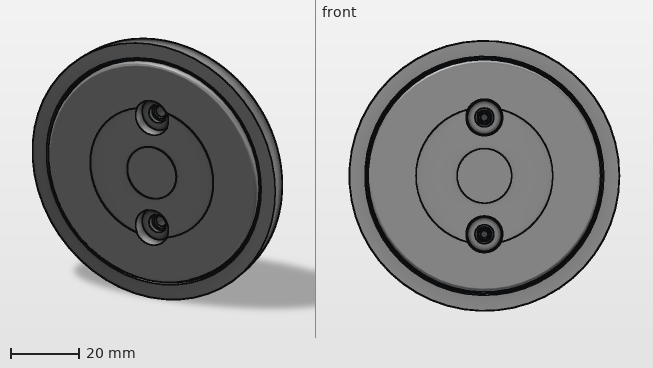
import cadquery as cq

total_depth = 19.5
rim_radius = 39.5
rim_y = 1.5
rim_land = 0.55
shoulder_corner_radius = 39.1
shoulder_corner_y = 8.5
shoulder_fillet = 4.1
crown_edge_radius = 20.0
crown_edge_y = 17.4
crown_fillet = 5.0
flat_top_radius = 7.8

disc_radius = 34.0
disc_thickness = 6.0
disc_edge_fillet = 1.1
mouth_radius = 34.9
mouth_step_radius = 34.45
mouth_steep_depth = 0.5
mouth_shallow_depth = 0.15

ring_outer_radius = 20.0
ring_inner_radius = 8.0
ring_depth = 0.3

screw_offset = 17.1
pocket_mouth_radius = 5.4
pocket_floor_radius = 5.0
pocket_depth = 3.95
clearance_radius = 2.8
countersink_radius = 2.1
countersink_depth = 0.5
bore_radius = 1.65
bore_depth = 4.75
bore_end_radius = 1.1
bore_end_length = 0.95


def turned(points, z_centre=0.0):
    """Solid of revolution of (radius, y) points about a line parallel to Y."""
    return (
        cq.Workplane("XY")
        .polyline(points)
        .close()
        .revolve(360, (0, 0, 0), (0, 1, 0))
        .translate((0, 0, z_centre))
    )


def edge_at(radius, y):
    """Selector for the round edge of the given radius at the given y."""
    tolerance = 0.01
    return cq.selectors.BoxSelector(
        (-radius - tolerance, y - tolerance, -radius - tolerance),
        (radius + tolerance, y + tolerance, radius + tolerance),
        boundingbox=True,
    )


def make_handle():
    """Domed handle with a recess whose mouth flares in two slopes, and two blind screw bores."""
    shell = turned([
        (0, rim_y),
        (rim_radius, rim_y),
        (rim_radius, rim_y + rim_land),
        (shoulder_corner_radius, shoulder_corner_y),
        (crown_edge_radius, crown_edge_y),
        (flat_top_radius, total_depth),
        (0, total_depth),
    ])
    shell = shell.edges(edge_at(shoulder_corner_radius, shoulder_corner_y)).fillet(shoulder_fillet)
    shell = shell.edges(edge_at(crown_edge_radius, crown_edge_y)).fillet(crown_fillet)
    recess = turned([
        (0, rim_y),
        (mouth_radius, rim_y),
        (mouth_step_radius, rim_y + mouth_steep_depth),
        (disc_radius, rim_y + mouth_steep_depth + mouth_shallow_depth),
        (disc_radius, disc_thickness),
        (0, disc_thickness),
    ])
    handle = shell.cut(recess)
    for z_centre in (-screw_offset, screw_offset):
        handle = handle.cut(screw_bore(z_centre))
    return handle


def screw_bore(z_centre):
    """Countersunk blind bore in the handle with a tapered end."""
    return turned([
        (0, disc_thickness),
        (countersink_radius, disc_thickness),
        (bore_radius, disc_thickness + countersink_depth),
        (bore_radius, disc_thickness + bore_depth),
        (bore_end_radius, disc_thickness + bore_depth + bore_end_length),
        (0, disc_thickness + bore_depth + bore_end_length),
    ], z_centre)


def screw_pocket(z_centre):
    """Tapered pocket and clearance hole that pass through the disc."""
    return turned([
        (0, 0),
        (pocket_mouth_radius, 0),
        (pocket_floor_radius, pocket_depth),
        (clearance_radius, pocket_depth),
        (clearance_radius, disc_thickness),
        (0, disc_thickness),
    ], z_centre)


def make_disc():
    """Insert disc with a rounded edge, a shallow ring recess and two screw pockets."""
    disc = turned([
        (0, 0),
        (disc_radius, 0),
        (disc_radius, disc_thickness),
        (0, disc_thickness),
    ])
    disc = disc.edges(edge_at(disc_radius, 0)).fillet(disc_edge_fillet)
    ring = turned([
        (ring_inner_radius, 0),
        (ring_outer_radius, 0),
        (ring_outer_radius, ring_depth),
        (ring_inner_radius, ring_depth),
    ])
    disc = disc.cut(ring)
    for z_centre in (-screw_offset, screw_offset):
        disc = disc.cut(screw_pocket(z_centre))
    return disc


handle = make_handle()
disc = make_disc()

result = cq.Compound.makeCompound([handle.val(), disc.val()])